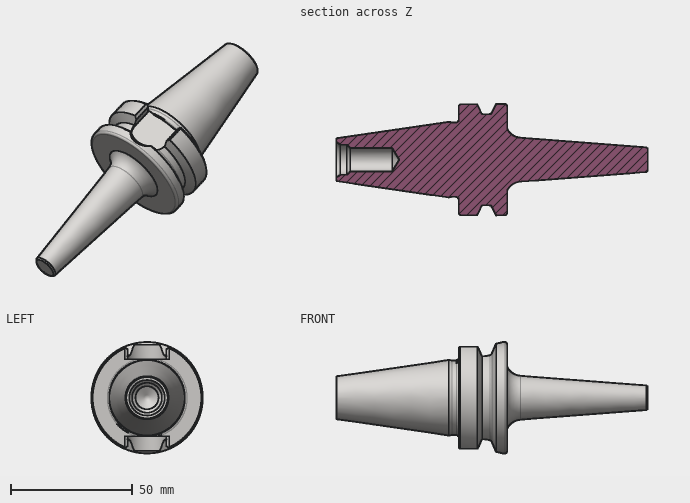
import cadquery as cq
import math

total_length = 128.4
gauge_length = 48.4
taper_end = 46.5
relief_start = 47.6
flange_back = 50.5
flange_front = 70.5
groove_back_rim = 58.2
groove_back_floor = 60.1
groove_front_floor = 63.8
groove_front_rim = 65.9
nose_start = 75.9

gauge_radius = 15.9
taper_slope = 7 / 48
relief_radius = 15.4
relief_fillet = 1.0
flange_radius = 23.0
groove_radius = 18.9
groove_fillet = 1.0
nose_root_radius = 12.7
nose_base_radius = 9.1
nose_tip_radius = 5.1

taper_chamfer = 0.4
rear_rim_chamfer = 0.6
front_rim_fillet = 1.0
tip_chamfer = 0.6

bore_mouth_radius = 7.3
pilot_radius = 6.2
pilot_depth = 4.5
thread_radius = 4.8
thread_depth = 23.1
mouth_depth = 1.8
drill_point_angle = 118.0

slot_width = 16.0
slot_floor = 15.9
slot_end = 67.5
bevel_width = 1.2
entry_bevel_length = 0.6
side_bevel_base = 19.9
end_bevel_base = 21.8


def taper_radius(x):
    """Radius of the 7:24 taper at station x."""
    return gauge_radius - (gauge_length - x) * taper_slope


def revolve_about_x(profile):
    return profile.close().revolve(360, (0, 0, 0), (1, 0, 0))


def make_body():
    """Taper, grooved flange and nose, traced from the nose tip back to the taper."""
    groove_wall_angle = math.atan2(
        flange_radius - groove_radius, groove_front_rim - groove_front_floor
    )
    fillet_setback = groove_fillet * math.tan(groove_wall_angle / 2)
    arc_offset = relief_fillet * math.sqrt(0.5)
    profile = (
        cq.Workplane("XY")
        .moveTo(total_length, 0)
        .lineTo(total_length, nose_tip_radius - tip_chamfer)
        .lineTo(total_length - tip_chamfer, nose_tip_radius)
        .lineTo(nose_start, nose_base_radius)
        .tangentArcPoint((flange_front, nose_root_radius), relative=False)
        .lineTo(flange_front, flange_radius - front_rim_fillet)
        .tangentArcPoint((flange_front - front_rim_fillet, flange_radius), relative=False)
        .lineTo(groove_front_rim, flange_radius)
        .lineTo(
            groove_front_floor + fillet_setback * math.cos(groove_wall_angle),
            groove_radius + fillet_setback * math.sin(groove_wall_angle),
        )
        .tangentArcPoint((groove_front_floor - fillet_setback, groove_radius), relative=False)
        .lineTo(groove_back_floor, groove_radius)
        .lineTo(groove_back_rim, flange_radius)
        .lineTo(flange_back + rear_rim_chamfer, flange_radius)
        .lineTo(flange_back, flange_radius - rear_rim_chamfer)
        .lineTo(flange_back, relief_radius + relief_fillet)
        .threePointArc(
            (
                flange_back - relief_fillet + arc_offset,
                relief_radius + relief_fillet - arc_offset,
            ),
            (flange_back - relief_fillet, relief_radius),
        )
        .lineTo(relief_start, relief_radius)
        .lineTo(taper_end, taper_radius(taper_end))
        .lineTo(taper_chamfer, taper_radius(taper_chamfer))
        .lineTo(0, taper_radius(0) - taper_chamfer)
        .lineTo(0, 0)
    )
    return revolve_about_x(profile)


def make_bore():
    """Stepped bore with a flared mouth and a drill-point bottom."""
    point_depth = thread_radius / math.tan(math.radians(drill_point_angle / 2))
    profile = (
        cq.Workplane("XY")
        .lineTo(0, bore_mouth_radius)
        .lineTo(mouth_depth, pilot_radius)
        .lineTo(pilot_depth, pilot_radius)
        .lineTo(pilot_depth + pilot_radius - thread_radius, thread_radius)
        .lineTo(thread_depth, thread_radius)
        .lineTo(thread_depth + point_depth, 0)
    )
    return revolve_about_x(profile)


def make_slot():
    """Drive slot open to the rear, with a full-round front end."""
    half = slot_width / 2
    return (
        cq.Workplane("XY", origin=(0, 0, slot_floor))
        .moveTo(flange_back - relief_fillet, -half)
        .lineTo(slot_end - half, -half)
        .threePointArc((slot_end, 0), (slot_end - half, half))
        .lineTo(flange_back - relief_fillet, half)
        .close()
        .extrude(flange_radius)
    )


def make_entry_bevel():
    """Tapered lead-in at the rear face that widens the slot walls."""
    half = slot_width / 2
    return (
        cq.Workplane("XY", origin=(0, 0, slot_floor))
        .moveTo(flange_back, -half - bevel_width)
        .lineTo(flange_back + entry_bevel_length, -half)
        .lineTo(flange_back + entry_bevel_length, half)
        .lineTo(flange_back, half + bevel_width)
        .close()
        .extrude(flange_radius)
    )


def make_side_bevel():
    """45 degree bevel along the tops of both straight slot walls."""
    half = slot_width / 2
    rise = flange_radius - side_bevel_base
    return (
        cq.Workplane("YZ", origin=(flange_back, 0, 0))
        .moveTo(-half, side_bevel_base)
        .lineTo(half, side_bevel_base)
        .lineTo(half + rise, flange_radius)
        .lineTo(-half - rise, flange_radius)
        .close()
        .extrude(slot_end - half - flange_back)
    )


def make_end_bevel():
    """45 degree conical bevel around the top of the full-round slot end."""
    half = slot_width / 2
    rise = flange_radius - end_bevel_base
    cone = cq.Solid.makeCone(
        half, half + rise, rise, pnt=cq.Vector(slot_end - half, 0, end_bevel_base)
    )
    return cq.Workplane("XY").add(cone)


result = make_body().cut(make_bore())
for cutter in (make_slot(), make_entry_bevel(), make_side_bevel(), make_end_bevel()):
    result = result.cut(cutter).cut(cutter.mirror("XY"))